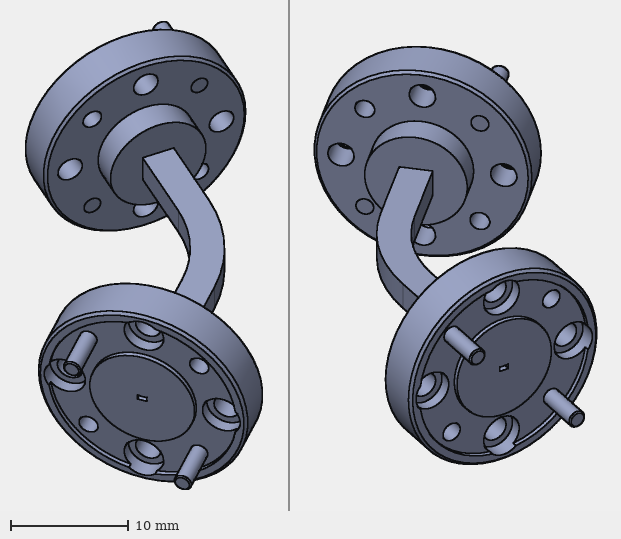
import cadquery as cq
import math

FLANGE_DIAMETER = 19.05
FLANGE_THICKNESS = 4.2
EDGE_CHAMFER = 0.25
FACE_RECESS_DEPTH = 0.45
RIM_INNER_DIAMETER = 17.1
FACE_BOSS_DIAMETER = 9.55

HUB_DIAMETER = 8.98
HUB_LENGTH = 2.5

BOLT_CIRCLE_RADIUS = 7.1
SCREW_HOLE_DIAMETER = 2.3
COUNTERBORE_DIAMETER = 3.6
COUNTERBORE_DEPTH = 1.5
ALIGNMENT_HOLE_DIAMETER = 1.73

PIN_DIAMETER = 1.55
PIN_PROTRUSION = 3.75
PIN_TIP_CHAMFER = 0.15

TUBE_WIDTH = 2.95
TUBE_HEIGHT = 2.5
CHANNEL_WIDTH = 0.85
CHANNEL_HEIGHT = 0.45
STRAIGHT_LENGTH = 13.9
BEND_RADIUS = 12.75
BEND_ANGLE = 45.0

SCREW_ANGLES = (0, 90, 180, 270)
PIN_ANGLES = (45, 225)
OPEN_HOLE_ANGLES = (135, 315)

bend = math.radians(BEND_ANGLE)
FAR_X = STRAIGHT_LENGTH + BEND_RADIUS * math.sin(bend) + STRAIGHT_LENGTH * math.cos(bend)
FAR_Y = -BEND_RADIUS * (1 - math.cos(bend)) - STRAIGHT_LENGTH * math.sin(bend)
FAR_ROTATION = 180 - BEND_ANGLE


def cylinder(diameter, start_x, length, y=0, z=0):
    """Cylinder along +X, starting at start_x."""
    return cq.Workplane("YZ", origin=(start_x, y, z)).circle(diameter / 2).extrude(length)


def bolt_circle_cylinder(diameter, start_x, length, angle):
    """Cylinder along +X, centred on the bolt circle at the given angle."""
    y = BOLT_CIRCLE_RADIUS * math.cos(math.radians(angle))
    z = BOLT_CIRCLE_RADIUS * math.sin(math.radians(angle))
    return cylinder(diameter, start_x, length, y, z)


def move_to_far_end(body):
    """Carry a body from the near flange to the same place on the far flange."""
    return body.rotate((0, 0, 0), (0, 0, 1), FAR_ROTATION).translate((FAR_X, FAR_Y, 0))


def make_flange():
    """Disc with a recessed face, a hub, and all its holes."""
    flange = cylinder(FLANGE_DIAMETER, 0, FLANGE_THICKNESS).edges().chamfer(EDGE_CHAMFER)
    recess = cylinder(RIM_INNER_DIAMETER, 0, FACE_RECESS_DEPTH)
    face_boss = cylinder(FACE_BOSS_DIAMETER, 0, FACE_RECESS_DEPTH)
    flange = flange.cut(recess.cut(face_boss))
    flange = flange.union(cylinder(HUB_DIAMETER, FLANGE_THICKNESS, HUB_LENGTH))
    for angle in SCREW_ANGLES:
        flange = flange.cut(bolt_circle_cylinder(SCREW_HOLE_DIAMETER, 0, FLANGE_THICKNESS, angle))
        flange = flange.cut(bolt_circle_cylinder(COUNTERBORE_DIAMETER, 0, COUNTERBORE_DEPTH, angle))
    for angle in PIN_ANGLES:
        flange = flange.cut(bolt_circle_cylinder(PIN_DIAMETER, 0, FLANGE_THICKNESS, angle))
    for angle in OPEN_HOLE_ANGLES:
        flange = flange.cut(bolt_circle_cylinder(ALIGNMENT_HOLE_DIAMETER, 0, FLANGE_THICKNESS, angle))
    return flange


def make_pin(angle):
    """Pin flush with the back of the flange, standing proud of the mating face."""
    pin = bolt_circle_cylinder(PIN_DIAMETER, -PIN_PROTRUSION, PIN_PROTRUSION + FLANGE_THICKNESS, angle)
    return pin.faces("<X").chamfer(PIN_TIP_CHAMFER)


def sweep_along_bend(width, height):
    """Rectangular bar following the bent centreline from one mating face to the other."""
    bend_end = (
        STRAIGHT_LENGTH + BEND_RADIUS * math.sin(bend),
        -BEND_RADIUS * (1 - math.cos(bend)),
    )
    bend_middle = (
        STRAIGHT_LENGTH + BEND_RADIUS * math.sin(bend / 2),
        -BEND_RADIUS * (1 - math.cos(bend / 2)),
    )
    centreline = (
        cq.Workplane("XY")
        .lineTo(STRAIGHT_LENGTH, 0)
        .threePointArc(bend_middle, bend_end)
        .lineTo(FAR_X, FAR_Y)
    )
    return cq.Workplane("YZ").rect(width, height).sweep(centreline)


def make_waveguide():
    """Both flanges joined by the bent tube, with the channel running right through."""
    flange = make_flange()
    waveguide = flange.union(move_to_far_end(flange))
    waveguide = waveguide.union(sweep_along_bend(TUBE_WIDTH, TUBE_HEIGHT))
    return waveguide.cut(sweep_along_bend(CHANNEL_WIDTH, CHANNEL_HEIGHT))


waveguide = make_waveguide()

pins = []
for pin_angle in PIN_ANGLES:
    near_pin = make_pin(pin_angle)
    pins.append(near_pin.val())
    pins.append(move_to_far_end(near_pin).val())

result = cq.Compound.makeCompound([waveguide.val(), *pins])